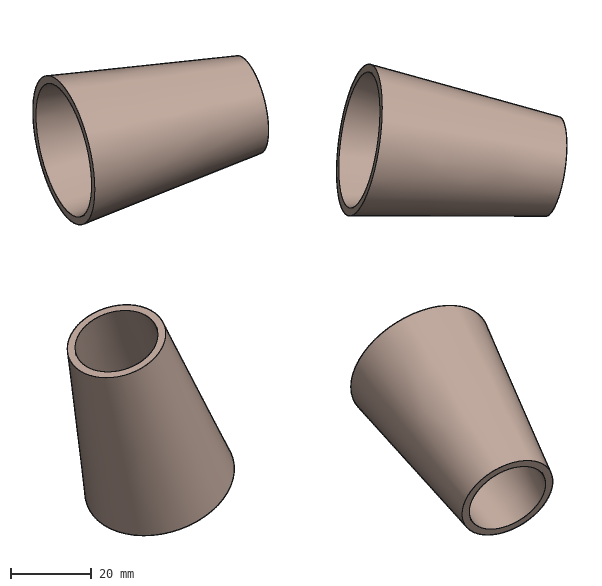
import cadquery as cq

large_diameter = 38.0
small_diameter = 25.0
wall = 2.0
length = 50.0

large_radius = large_diameter / 2
small_radius = small_diameter / 2


def reducer():
    """Revolve the wall section, of equal radial thickness at both ends, about the Y axis."""
    section = (
        cq.Workplane("XY")
        .moveTo(large_radius - wall, 0)
        .lineTo(large_radius, 0)
        .lineTo(small_radius, length)
        .lineTo(small_radius - wall, length)
        .close()
    )
    return section.revolve(360, (0, 0, 0), (0, 1, 0))


result = reducer()